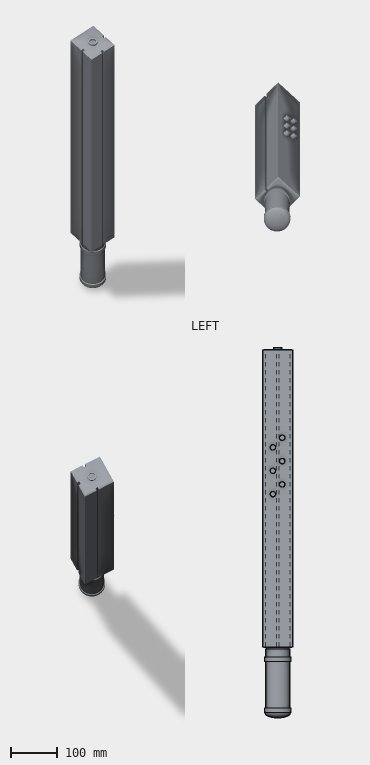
import cadquery as cq

overall_width = 80.0
total_height = 791.0

housing_width = 70.5
housing_depth = 64.0
housing_bottom = 150.0
housing_top = 786.0
bevel_height = 1.2
bevel_inset = 3.0

groove_width = 5.5
side_groove_width = 6.0
groove_depth = 5.5
groove_offset = 3.55

axis_x = 1.2

stud_radius = 9.5
stud_bore_radius = 7.0

motor_radius = 26.0
neck_radius = 24.5
neck_height = 3.0
collar_radius = 28.5
collar_height = 9.5
upper_collar_bottom = 120.0
lower_collar_bottom = 12.0
dome_radius = 27.0
dome_height = 10.0

fitting_length = overall_width - housing_width
fitting_radius = 5.9
tip_radius = 5.5
flange_length = 5.0
fitting_pitch = 50.0
fitting_columns = ((-9.5, 598.0), (10.0, 577.5))
fittings_per_column = 3


def make_bevel(base_z, direction):
    """Low bevelled end of the housing, going up (direction 1) or down (direction -1) from base_z."""
    return (
        cq.Workplane("XY", origin=(0, 0, base_z))
        .rect(housing_width, housing_depth)
        .workplane(offset=direction * bevel_height)
        .rect(housing_width - 2 * bevel_inset, housing_depth - 2 * bevel_inset)
        .loft(ruled=True)
    )


def make_housing():
    """Rectangular housing with bevelled ends and three lengthwise grooves."""
    height = housing_top - housing_bottom
    lower_bevel_z = housing_bottom + bevel_height
    upper_bevel_z = housing_top - bevel_height
    housing = (
        cq.Workplane("XY", origin=(0, 0, lower_bevel_z))
        .rect(housing_width, housing_depth)
        .extrude(upper_bevel_z - lower_bevel_z)
        .union(make_bevel(lower_bevel_z, -1))
        .union(make_bevel(upper_bevel_z, 1))
    )
    groove_places = (
        (groove_offset, -housing_depth / 2, groove_width, 2 * groove_depth),
        (groove_offset, housing_depth / 2, groove_width, 2 * groove_depth),
        (housing_width / 2, 0, 2 * groove_depth, side_groove_width),
    )
    for x, y, size_x, size_y in groove_places:
        groove = (
            cq.Workplane("XY", origin=(x, y, housing_bottom))
            .rect(size_x, size_y)
            .extrude(height)
        )
        housing = housing.cut(groove)
    return housing


def make_stud():
    """Short open ring standing on the top face."""
    return (
        cq.Workplane("XY", origin=(axis_x, 0, housing_top))
        .circle(stud_radius)
        .circle(stud_bore_radius)
        .extrude(total_height - housing_top)
    )


def make_motor():
    """Turned motor: elliptical dome, two collars and a neck meeting the housing."""
    neck_bottom = housing_bottom - neck_height
    upper_collar_top = upper_collar_bottom + collar_height
    lower_collar_top = lower_collar_bottom + collar_height
    return (
        cq.Workplane(cq.Plane((axis_x, 0, 0), xDir=(-1, 0, 0), normal=(0, 1, 0)))
        .ellipseArc(dome_radius, dome_height, 270, 360)
        .lineTo(dome_radius, lower_collar_bottom)
        .lineTo(collar_radius, lower_collar_bottom)
        .lineTo(collar_radius, lower_collar_top)
        .lineTo(motor_radius, lower_collar_top)
        .lineTo(motor_radius, upper_collar_bottom)
        .lineTo(collar_radius, upper_collar_bottom)
        .lineTo(collar_radius, upper_collar_top)
        .lineTo(motor_radius, upper_collar_top)
        .lineTo(motor_radius, neck_bottom)
        .lineTo(neck_radius, neck_bottom)
        .lineTo(neck_radius, housing_bottom)
        .lineTo(0, housing_bottom)
        .close()
        .revolve(360, (0, 0, 0), (0, 1, 0))
    )


def make_fitting(y, z):
    """Round fitting with a slightly narrower tip, pointing along -X."""
    return (
        cq.Workplane(cq.Plane((-housing_width / 2, y, z), xDir=(0, -1, 0), normal=(-1, 0, 0)))
        .circle(fitting_radius)
        .extrude(flange_length)
        .faces("<X")
        .workplane()
        .circle(tip_radius)
        .extrude(fitting_length - flange_length)
    )


result = make_housing().union(make_stud()).union(make_motor())
for column_y, top_z in fitting_columns:
    for index in range(fittings_per_column):
        result = result.union(make_fitting(column_y, top_z - index * fitting_pitch))